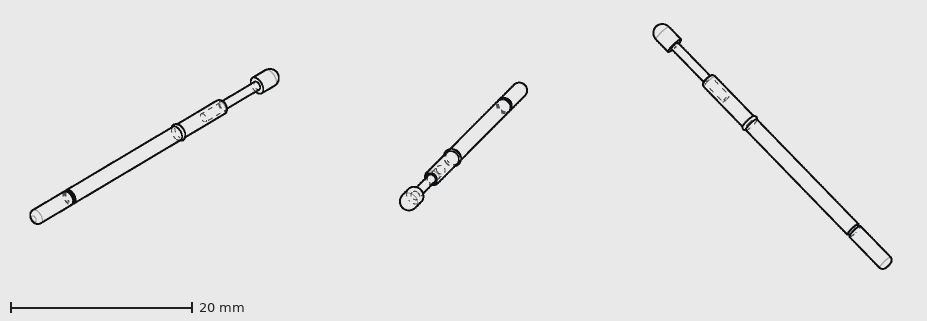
import cadquery as cq

TOTAL_LENGTH = 37.3
HEAD_DIAMETER = 2.0
HEAD_LENGTH = 3.0
STEM_DIAMETER = 1.0
STEM_EXPOSED_LENGTH = 5.25
STEM_INSERTED_LENGTH = 3.0

BARREL_DIAMETER = 1.7
MOUTH_DIAMETER = 1.35
CRIMP_LENGTH = 0.35
TAIL_ROUNDING = 0.5

RING_DIAMETER = HEAD_DIAMETER
RING_WIDTH = 0.5
RING_TO_MOUTH = 6.83

GROOVE_WIDTH = 0.3
GROOVE_DEPTH = 0.1
GROOVE_TO_TAIL = 5.5

HEAD_TIP_Y = TOTAL_LENGTH / 2
TAIL_Y = -TOTAL_LENGTH / 2
HEAD_BASE_Y = HEAD_TIP_Y - HEAD_LENGTH
MOUTH_Y = HEAD_BASE_Y - STEM_EXPOSED_LENGTH
RING_Y = MOUTH_Y - RING_TO_MOUTH
GROOVE_Y = TAIL_Y + GROOVE_TO_TAIL


def cylinder(diameter, start_y, end_y):
    """Round bar on the Y axis from start_y up to end_y."""
    base = cq.Workplane("XZ", origin=(0, start_y, 0))
    return base.circle(diameter / 2).extrude(start_y - end_y)


def make_plunger():
    """Domed head on a thin stem that reaches into the barrel."""
    radius = HEAD_DIAMETER / 2
    head = (
        cq.Workplane("XY")
        .moveTo(0, HEAD_BASE_Y)
        .lineTo(radius, HEAD_BASE_Y)
        .lineTo(radius, HEAD_TIP_Y - radius)
        .radiusArc((0, HEAD_TIP_Y), -radius)
        .close()
        .revolve(360, (0, 0, 0), (0, 1, 0))
    )
    stem = cylinder(STEM_DIAMETER, MOUTH_Y - STEM_INSERTED_LENGTH, HEAD_BASE_Y)
    return head.union(stem)


def make_ring():
    """Press ring around the barrel with a rounded crown."""
    half_width = RING_WIDTH / 2
    inner_radius = BARREL_DIAMETER / 4
    surface_radius = BARREL_DIAMETER / 2
    return (
        cq.Workplane("XY")
        .moveTo(inner_radius, RING_Y - half_width)
        .lineTo(surface_radius, RING_Y - half_width)
        .threePointArc((RING_DIAMETER / 2, RING_Y), (surface_radius, RING_Y + half_width))
        .lineTo(inner_radius, RING_Y + half_width)
        .close()
        .revolve(360, (0, 0, 0), (0, 1, 0))
    )


def make_groove():
    """Ring-shaped tool that turns a square groove into the barrel near its tail."""
    start_y = GROOVE_Y - GROOVE_WIDTH / 2
    end_y = GROOVE_Y + GROOVE_WIDTH / 2
    core = cylinder(BARREL_DIAMETER - 2 * GROOVE_DEPTH, start_y, end_y)
    return cylinder(RING_DIAMETER, start_y, end_y).cut(core)


def make_barrel():
    """Barrel with a crimped mouth, a rounded tail, a press ring, a groove and a blind bore."""
    radius = BARREL_DIAMETER / 2
    body = (
        cq.Workplane("XY")
        .moveTo(0, TAIL_Y)
        .lineTo(radius - TAIL_ROUNDING, TAIL_Y)
        .radiusArc((radius, TAIL_Y + TAIL_ROUNDING), -TAIL_ROUNDING)
        .lineTo(radius, MOUTH_Y - CRIMP_LENGTH)
        .tangentArcPoint((MOUTH_DIAMETER / 2, MOUTH_Y), relative=False)
        .lineTo(0, MOUTH_Y)
        .close()
        .revolve(360, (0, 0, 0), (0, 1, 0))
    )
    bore = cylinder(STEM_DIAMETER, MOUTH_Y - STEM_INSERTED_LENGTH, MOUTH_Y)
    return body.union(make_ring()).cut(make_groove()).cut(bore)


plunger = make_plunger()
barrel = make_barrel()

result = cq.Compound.makeCompound([plunger.val(), barrel.val()])